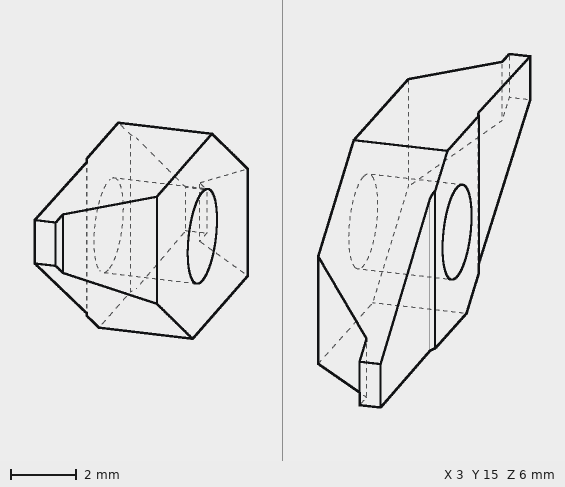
import cadquery as cq
import math

thickness = 3.0
length = 15.0
height = 6.0

flank_angle = 35.0
crown_y = 0.96
hole_diameter = 2.91

pad_half_length = 2.19
flank_length = 0.3
pad_height = 0.09
tip_setback = 0.05
blade_thickness = 0.68
blade_length = 0.7
shoulder_angle = 45.0

half_length = length / 2
half_height = height / 2
seat_x = -thickness / 2
back_x = thickness / 2
blade_x = seat_x + tip_setback + blade_thickness
shoulder_start = half_length - blade_length
shoulder_end = shoulder_start - (back_x - blade_x) / math.tan(math.radians(shoulder_angle))
tip_z = half_height - (half_length - crown_y) * math.tan(math.radians(flank_angle))


def make_side_body():
    """Outline with half-turn symmetry about X, extruded through the thickness."""
    half_outline = [
        (crown_y, half_height),
        (half_length, tip_z),
        (half_length, -half_height),
    ]
    outline = half_outline + [(-y, -z) for y, z in half_outline]
    return cq.Workplane("YZ").workplane(offset=seat_x).polyline(outline).close().extrude(thickness)


def make_plan_body():
    """Profile mirrored about Y = 0, extruded through the height."""
    tip_x = seat_x + tip_setback
    flank_foot = (seat_x + pad_height, pad_half_length + flank_length)
    half_body = (
        cq.Workplane("XY").workplane(offset=-half_height)
        .moveTo(back_x, 0)
        .lineTo(back_x, shoulder_end)
        .lineTo(blade_x, shoulder_start)
        .lineTo(blade_x, half_length)
        .lineTo(tip_x, half_length)
        .lineTo(*flank_foot)
        .tangentArcPoint((seat_x, pad_half_length), relative=False)
        .lineTo(seat_x, 0)
        .close().extrude(height)
    )
    return half_body.union(half_body.mirror("XZ")).clean()


def make_screw_hole():
    return (
        cq.Workplane("YZ").workplane(offset=seat_x)
        .circle(hole_diameter / 2).extrude(thickness)
    )


result = make_side_body().intersect(make_plan_body()).cut(make_screw_hole())